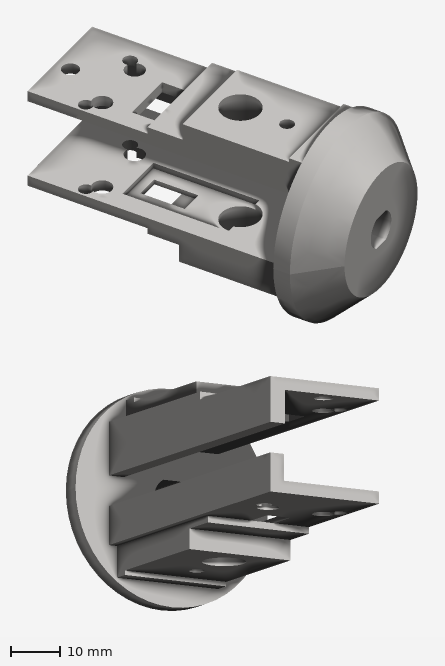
import cadquery as cq

cap_start = 64.85
cap_rim_end = 68.8
cap_end = 76.8
cap_radius = 22.5
cap_bore_diameter = 8.15
cap_bore_height = 7.2

arm_front_y = -10.8
arm_back_y = 14.7
step_x = 28.3
flange_x = 61.6

upper_wall_bottom = 3.2
upper_wall_inner_y = 11.2
upper_plate_bottom = 10.15
upper_plate_top = 12.7
upper_step_top = 14.3
upper_block_top = 18.2
upper_flange_top = 19.1
upper_block_x = 36.6
upper_block_back_y = 10.7

lower_wall_top = -3.1
lower_wall_inner_y = 11.45
lower_plate_top = -8.6
lower_plate_bottom = -11.15
lower_step_bottom = -12.5
lower_block_bottom = -16.75
lower_flange_bottom = -17.7
lower_block_x = 35.7
lower_block_back_y = 12.8

main_hole_x = 43.7
main_hole_diameter = 9.0
screw_hole_x = 54.7
small_diameter = 3.2
keyhole_large_diameter = 4.5
keyhole_large_x = 15.0
keyhole_large_y = 6.45
keyhole_small_x = 12.5
keyhole_small_y = 8.75

tip_hole_x = 3.7
tip_hole_diameter = 3.9

window_x = 21.8
upper_window_y = (-6.2, 5.7)
lower_window_end = 32.2
lower_window_y = (-2.7, 2.7)
recess_x = (19.7, 44.6)
recess_y = (-6.3, 5.9)
recess_depth = 1.4
recess_floor = lower_plate_top - recess_depth


def box(x_range, y_range, z_range):
    """Box spanning the given (low, high) ranges."""
    size = [high - low for low, high in (x_range, y_range, z_range)]
    corner = (x_range[0], y_range[0], z_range[0])
    return cq.Workplane("XY").box(*size, centered=False).translate(corner)


def vertical_hole(x, y, diameter):
    """Cutter for a hole along Z through both arms."""
    return (
        cq.Workplane("XY").center(x, y).circle(diameter / 2).extrude(cap_radius, both=True)
    )


def half_cap(z_range):
    """Half of the tapered cap, with its half of the flat-sided centre bore."""
    taper = cap_end - cap_rim_end
    cap = (
        cq.Workplane("XY")
        .moveTo(cap_start, 0)
        .lineTo(cap_start, cap_radius)
        .lineTo(cap_rim_end, cap_radius)
        .lineTo(cap_end, cap_radius - taper)
        .lineTo(cap_end, 0)
        .close()
        .revolve(360, (0, 0, 0), (1, 0, 0))
    )
    round_bore = (
        cq.Workplane("YZ", origin=(cap_start, 0, 0))
        .circle(cap_bore_diameter / 2)
        .extrude(cap_end - cap_start)
    )
    flat_limits = box(
        (cap_start, cap_end),
        (-cap_radius, cap_radius),
        (-cap_bore_height / 2, cap_bore_height / 2),
    )
    half_space = box((cap_start, cap_end), (-cap_radius, cap_radius), z_range)
    return cap.cut(round_bore.intersect(flat_limits)).intersect(half_space)


def cut_shared_holes(body):
    """Cut the main hole, the screw hole and the pair of mirrored keyholes."""
    body = body.cut(vertical_hole(main_hole_x, 0, main_hole_diameter))
    body = body.cut(vertical_hole(screw_hole_x, 0, small_diameter))
    for side in (-1, 1):
        body = body.cut(vertical_hole(keyhole_large_x, side * keyhole_large_y, keyhole_large_diameter))
        body = body.cut(vertical_hole(keyhole_small_x, side * keyhole_small_y, small_diameter))
    return body


def make_upper_half():
    full_y = (arm_front_y, arm_back_y)
    block_y = (arm_front_y, upper_block_back_y)
    wall_y = (upper_wall_inner_y, arm_back_y)
    body = half_cap((0, cap_radius))
    body = body.union(box((0, cap_start), full_y, (upper_plate_bottom, upper_plate_top)))
    body = body.union(box((0, cap_start), wall_y, (upper_wall_bottom, upper_plate_top)))
    body = body.union(box((step_x, cap_start), full_y, (upper_plate_bottom, upper_step_top)))
    body = body.union(box((upper_block_x, cap_start), block_y, (upper_plate_bottom, upper_block_top)))
    body = body.union(box((flange_x, cap_start), block_y, (upper_plate_bottom, upper_flange_top)))
    body = cut_shared_holes(body)
    body = body.cut(vertical_hole(tip_hole_x, 0, tip_hole_diameter))
    return body.cut(box((window_x, step_x), upper_window_y, (upper_plate_bottom, upper_plate_top)))


def make_lower_half():
    full_y = (arm_front_y, arm_back_y)
    block_y = (arm_front_y, lower_block_back_y)
    wall_y = (lower_wall_inner_y, arm_back_y)
    body = half_cap((-cap_radius, 0))
    body = body.union(box((0, cap_start), full_y, (lower_plate_bottom, lower_plate_top)))
    body = body.union(box((0, cap_start), wall_y, (lower_plate_bottom, lower_wall_top)))
    body = body.union(box((step_x, cap_start), block_y, (lower_step_bottom, lower_plate_top)))
    body = body.union(box((lower_block_x, cap_start), block_y, (lower_block_bottom, lower_plate_top)))
    body = body.union(box((flange_x, cap_start), block_y, (lower_flange_bottom, lower_plate_top)))
    body = cut_shared_holes(body)
    body = body.cut(box(recess_x, recess_y, (recess_floor, lower_plate_top)))
    window_z = (lower_plate_bottom, recess_floor)
    return body.cut(box((window_x, lower_window_end), lower_window_y, window_z))


upper_half = make_upper_half()
lower_half = make_lower_half()
result = cq.Compound.makeCompound([upper_half.val(), lower_half.val()])